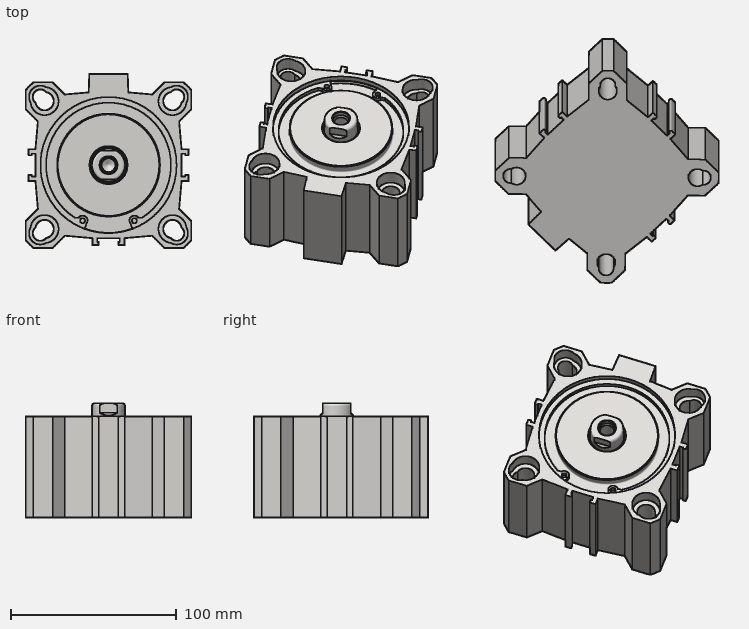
import cadquery as cq
import math

HALF_WIDTH = 50.0
HOUSING_HEIGHT = 61.1
CORNER_RADIUS = 67.4
POST_EDGE = 33.7
POST_STEP = 7.4
WALL_HALF = 44.1
ROOT_OVERLAP = 1.0

PORT_REACH = 55.0
PORT_BASE_WIDTH = 24.0
PORT_END_WIDTH = 23.3

RAIL_OUTER = 9.7
RAIL_INNER = 6.7
RAIL_LIP_INNER = 5.9
RAIL_REACH = 48.3
RAIL_LIP_THICKNESS = 2.1
LIP_ROUND = 0.6

BOLT_PLACE = 38.5
BOLT_DIAMETER = 10.9
RELIEF_PLACE = 41.1
RELIEF_DIAMETER = 9.0
SEAT_DIAMETER = 16.9
SEAT_RELIEF_DIAMETER = 13.6
SEAT_DEPTH = 9.0

BORE_DIAMETER = 82.1
GROOVE_DIAMETER = 85.6
RING_INNER_DIAMETER = 75.3
RING_THICKNESS = 2.5
RING_TOP_DEPTH = 3.6
LUG_RADIUS = 3.0
LUG_HOLE_DIAMETER = 3.0
LUG_PLACE_RADIUS = 37.0
LUG_ANGLE = 25.0
RING_END_ANGLE = 20.6
LUG_SHOULDER_Y = -31.6

COVER_DIAMETER = 81.7
COVER_THICKNESS = 16.8
COVER_BOSS_DIAMETER = 62.2
COVER_BOSS_DEPTH = 1.0
BOSS_CHAMFER = 0.5
BOSS_FOOT_ROUND = 0.7
ROD_BORE_DIAMETER = 20.6
WIPER_DIAMETER = 21.9
WIPER_DEPTH = 1.6
WIPER_CHAMFER = 0.5

ROD_DIAMETER = 20.0
ROD_TOP = 69.0
ROD_ROUND = 1.7
FLAT_WIDTH = 17.0
FLAT_HEIGHT = 5.9
ROD_HOLE_DIAMETER = 8.4
ROD_HOLE_DEPTH = 15.8
ROD_MOUTH_DIAMETER = 10.3
ROD_MOUTH_DEPTH = 3.0
ROD_MOUTH_CHAMFER = 0.3
DRILL_POINT_ANGLE = 118.0

RING_TOP = HOUSING_HEIGHT - RING_TOP_DEPTH
RING_BOTTOM = RING_TOP - RING_THICKNESS
BORE_FLOOR = RING_BOTTOM - COVER_THICKNESS


def disc(diameter, bottom, top):
    return cq.Workplane("XY").workplane(offset=bottom).circle(diameter / 2).extrude(top - bottom)


def post_outline():
    """Quarter of the housing outline with the post's corner left square, from the -Y wall to the +X wall."""
    wall_corner = HALF_WIDTH - POST_STEP
    wall_edge = POST_EDGE - POST_STEP
    return [
        (RAIL_OUTER, -WALL_HALF),
        (wall_edge, -wall_corner),
        (POST_EDGE, -HALF_WIDTH),
        (HALF_WIDTH, -HALF_WIDTH),
        (HALF_WIDTH, -POST_EDGE),
        (wall_corner, -wall_edge),
        (WALL_HALF, -RAIL_OUTER),
    ]


def quarter_turn(point, turns):
    """Turn a point about the axis by a number of quarter turns."""
    x, y = point
    for _ in range(turns):
        x, y = -y, x
    return x, y


def make_block():
    """Four-post block whose post corners are rounded about the bore axis."""
    outline = [quarter_turn(p, turns) for turns in range(4) for p in post_outline()]
    block = cq.Workplane("XY").polyline(outline).close().extrude(HOUSING_HEIGHT)
    return block.intersect(disc(2 * CORNER_RADIUS, 0, HOUSING_HEIGHT))


def make_rail_pair():
    """Two hooked rails on the -Y wall, their lips facing each other."""
    root = -WALL_HALF + ROOT_OVERLAP
    lip_start = -RAIL_REACH + RAIL_LIP_THICKNESS
    rail = (
        cq.Workplane("XY")
        .moveTo(RAIL_OUTER, root)
        .lineTo(RAIL_OUTER, -RAIL_REACH)
        .lineTo(RAIL_LIP_INNER + LIP_ROUND, -RAIL_REACH)
        .radiusArc((RAIL_LIP_INNER, -RAIL_REACH + LIP_ROUND), LIP_ROUND)
        .lineTo(RAIL_LIP_INNER, lip_start)
        .lineTo(RAIL_INNER, lip_start)
        .lineTo(RAIL_INNER, root)
        .close()
        .extrude(HOUSING_HEIGHT)
    )
    return rail.union(rail.mirror("YZ"))


def make_port_boss():
    """Full-height block on the +Y wall, slightly narrower at its outer end."""
    half_base = PORT_BASE_WIDTH / 2
    half_end = PORT_END_WIDTH / 2
    root = WALL_HALF - ROOT_OVERLAP
    outline = [(-half_base, root), (half_base, root), (half_end, PORT_REACH), (-half_end, PORT_REACH)]
    return cq.Workplane("XY").polyline(outline).close().extrude(HOUSING_HEIGHT)


def corner_cylinders(place, diameter, bottom):
    """Four cylinders, one in each corner post, from a height up to the housing's top."""
    spots = [(sx * place, sy * place) for sx in (-1, 1) for sy in (-1, 1)]
    height = HOUSING_HEIGHT - bottom
    return cq.Workplane("XY").workplane(offset=bottom).pushPoints(spots).circle(diameter / 2).extrude(height)


def make_housing():
    """Block with port boss, rails on three walls, bolt holes and bore."""
    housing = make_block().union(make_port_boss())
    rails = make_rail_pair()
    for angle in (0, 90, -90):
        housing = housing.union(rails.rotate((0, 0, 0), (0, 0, 1), angle))
    seat_floor = HOUSING_HEIGHT - SEAT_DEPTH
    housing = housing.cut(corner_cylinders(BOLT_PLACE, BOLT_DIAMETER, 0))
    housing = housing.cut(corner_cylinders(RELIEF_PLACE, RELIEF_DIAMETER, 0))
    housing = housing.cut(corner_cylinders(BOLT_PLACE, SEAT_DIAMETER, seat_floor))
    housing = housing.cut(corner_cylinders(RELIEF_PLACE, SEAT_RELIEF_DIAMETER, seat_floor))
    housing = housing.cut(disc(BORE_DIAMETER, BORE_FLOOR, HOUSING_HEIGHT))
    return housing.cut(disc(GROOVE_DIAMETER, RING_BOTTOM, RING_TOP))


def make_cover():
    """Head cover that carries the rod, with a raised boss inside the ring."""
    boss_top = HOUSING_HEIGHT - COVER_BOSS_DEPTH
    wiper_floor = boss_top - WIPER_DEPTH
    boss_radius = COVER_BOSS_DIAMETER / 2
    cover_radius = COVER_DIAMETER / 2
    bore_radius = ROD_BORE_DIAMETER / 2
    wiper_radius = WIPER_DIAMETER / 2
    foot_top = RING_BOTTOM + BOSS_FOOT_ROUND
    section = (
        cq.Workplane("XZ")
        .moveTo(bore_radius, BORE_FLOOR)
        .lineTo(cover_radius, BORE_FLOOR)
        .lineTo(cover_radius, RING_BOTTOM)
        .lineTo(boss_radius + BOSS_FOOT_ROUND, RING_BOTTOM)
        .radiusArc((boss_radius, foot_top), BOSS_FOOT_ROUND)
        .lineTo(boss_radius, boss_top - BOSS_CHAMFER)
        .lineTo(boss_radius - BOSS_CHAMFER, boss_top)
        .lineTo(wiper_radius + WIPER_CHAMFER, boss_top)
        .lineTo(wiper_radius, boss_top - WIPER_CHAMFER)
        .lineTo(wiper_radius, wiper_floor)
        .lineTo(bore_radius, wiper_floor)
        .close()
    )
    return section.revolve(360, (0, 0), (0, 1))


def from_minus_y(radius, angle):
    """Point at a radius and an angle that is measured from -Y toward +X."""
    turn = math.radians(angle)
    return radius * math.sin(turn), -radius * math.cos(turn)


def make_ring():
    """Retaining ring, open toward -Y, with an eyelet lug at each end."""
    height = RING_THICKNESS
    plane = cq.Workplane("XY").workplane(offset=RING_BOTTOM)
    inner_radius = RING_INNER_DIAMETER / 2
    ring = plane.circle(GROOVE_DIAMETER / 2).circle(inner_radius).extrude(height)
    shoulder_x = math.sqrt(inner_radius**2 - LUG_SHOULDER_Y**2)
    lug_x, lug_y = from_minus_y(LUG_PLACE_RADIUS, LUG_ANGLE)
    for side in (-1, 1):
        web = [
            (side * lug_x, lug_y),
            (side * lug_x, LUG_SHOULDER_Y),
            (side * shoulder_x, LUG_SHOULDER_Y),
            (side * shoulder_x, lug_y),
        ]
        ring = ring.union(plane.polyline(web).close().extrude(height))
        ring = ring.union(plane.center(side * lug_x, lug_y).circle(LUG_RADIUS).extrude(height))
    end_x, end_y = from_minus_y(GROOVE_DIAMETER, RING_END_ANGLE)
    gap = plane.polyline([(0, 0), (-end_x, end_y), (end_x, end_y)]).close().extrude(height)
    ring = ring.cut(gap)
    lug_holes = plane.pushPoints([(-lug_x, lug_y), (lug_x, lug_y)])
    return ring.cut(lug_holes.circle(LUG_HOLE_DIAMETER / 2).extrude(height))


def make_flat_cutter():
    """Wrench flat on the -Y side; its lower end runs out at 45 degrees."""
    flat_y = -FLAT_WIDTH / 2
    flat_bottom = ROD_TOP - FLAT_HEIGHT
    reach = ROD_DIAMETER / 2
    outline = [
        (flat_y, ROD_TOP),
        (flat_y, flat_bottom),
        (-reach, flat_bottom - (reach + flat_y)),
        (-reach, ROD_TOP),
    ]
    return cq.Workplane("YZ").polyline(outline).close().extrude(reach, both=True)


def make_rod_hole():
    """Blind threaded hole with a wider mouth and a drill point."""
    mouth_radius = ROD_MOUTH_DIAMETER / 2
    hole_radius = ROD_HOLE_DIAMETER / 2
    mouth_end = ROD_TOP - ROD_MOUTH_DEPTH
    hole_end = ROD_TOP - ROD_HOLE_DEPTH
    point_depth = hole_radius / math.tan(math.radians(DRILL_POINT_ANGLE / 2))
    half_section = [
        (0, ROD_TOP),
        (mouth_radius + ROD_MOUTH_CHAMFER, ROD_TOP),
        (mouth_radius, ROD_TOP - ROD_MOUTH_CHAMFER),
        (mouth_radius, mouth_end),
        (hole_radius, mouth_end - (mouth_radius - hole_radius)),
        (hole_radius, hole_end),
        (0, hole_end - point_depth),
    ]
    return cq.Workplane("XZ").polyline(half_section).close().revolve(360, (0, 0), (0, 1))


def make_rod():
    """Rod with a rounded tip, two wrench flats and a threaded hole."""
    rod = disc(ROD_DIAMETER, BORE_FLOOR, ROD_TOP).faces(">Z").edges().fillet(ROD_ROUND)
    flat = make_flat_cutter()
    rod = rod.cut(flat).cut(flat.mirror("XZ"))
    return rod.cut(make_rod_hole())


housing = make_housing()
cover = make_cover()
retaining_ring = make_ring()
piston_rod = make_rod()

result = cq.Compound.makeCompound(
    [housing.val(), cover.val(), retaining_ring.val(), piston_rod.val()]
)